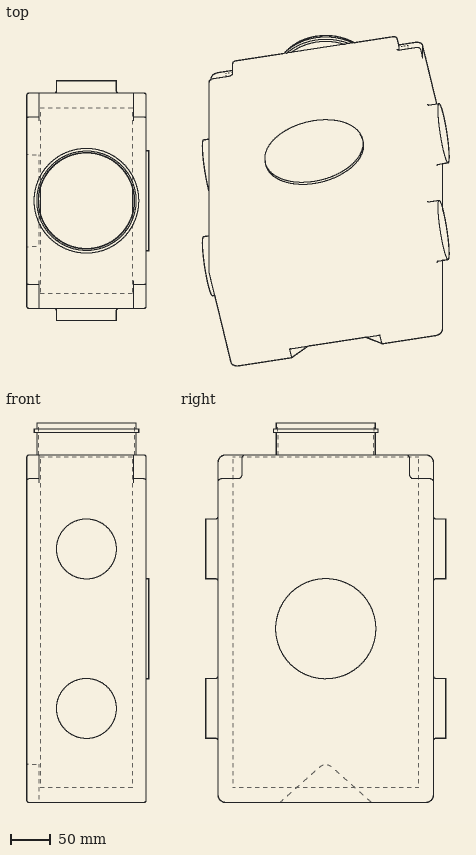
import cadquery as cq
import math

BOX_X = 149.5
BOX_Y = 270.0
BOX_Z = 435.0
CORNER_RADIUS = 10.0
RIM_FILLET = 3.5

LARGE_FACE_WALL = 17.0
SIDE_WALL = 19.0
FLOOR_WALL = 19.0
ROOF_WALL = 3.0

NOTCH_DEPTH = 15.5
NOTCH_SIZE = 30.0
NOTCH_FILLET = 4.8

RECESS_DEPTH = 15.5
RECESS_HALF_WIDTH = 57.5
RECESS_HEIGHT = 51.5
RECESS_TIP_RADIUS = 11.5

TOTAL_Z = 475.0
PIPE_RADIUS = 62.0
BORE_RADIUS = 60.0
MOUTH_RADIUS = 60.5
BEAD_RADIUS = 65.5
BEAD_HEIGHT = 4.8
BEAD_TO_RIM = 7.5

TOTAL_Y = 300.0
SPIGOT_RADIUS = 37.5
SPIGOT_BASE_FILLET = 3.0
SPIGOT_HEIGHTS = (118.0, 317.5)

TOTAL_X = 153.0
DISC_RADIUS = 62.5
DISC_HEIGHT = BOX_Z / 2


def cylinder(plane, start, radius, length):
    return cq.Workplane(plane, origin=start).circle(radius).extrude(length)


def make_core():
    """Middle layer of the box, between the notched outer layers."""
    return (
        cq.Workplane("XY")
        .box(BOX_X - 2 * NOTCH_DEPTH, BOX_Y, BOX_Z, centered=(True, True, False))
        .edges("|X")
        .fillet(CORNER_RADIUS)
    )


def make_recess():
    """Cutter with a triangular outline and a rounded tip."""
    return (
        cq.Workplane("YZ", origin=(-BOX_X / 2, 0, 0))
        .moveTo(-RECESS_HALF_WIDTH, 0)
        .lineTo(0, RECESS_HEIGHT)
        .lineTo(RECESS_HALF_WIDTH, 0)
        .close()
        .extrude(RECESS_DEPTH)
        .edges("|X and >Z")
        .fillet(RECESS_TIP_RADIUS)
    )


def make_outer_layer():
    """Layer behind the -X face, with a notch in both upper corners."""
    shoulder_y = BOX_Y / 2 - NOTCH_SIZE
    shoulder_z = BOX_Z - NOTCH_SIZE
    return (
        cq.Workplane("YZ", origin=(-BOX_X / 2, 0, 0))
        .moveTo(-BOX_Y / 2, 0)
        .lineTo(-BOX_Y / 2, shoulder_z)
        .lineTo(-shoulder_y, shoulder_z)
        .lineTo(-shoulder_y, BOX_Z)
        .lineTo(shoulder_y, BOX_Z)
        .lineTo(shoulder_y, shoulder_z)
        .lineTo(BOX_Y / 2, shoulder_z)
        .lineTo(BOX_Y / 2, 0)
        .close()
        .extrude(NOTCH_DEPTH)
        .edges("|X and (not <Z)")
        .fillet(NOTCH_FILLET)
        .edges("|X and <Z")
        .fillet(CORNER_RADIUS)
    )


def make_box():
    plain_layer = make_outer_layer().mirror("YZ")
    recessed_layer = make_outer_layer().cut(make_recess())
    box = make_core().union(plain_layer).union(recessed_layer)
    return box.faces("<X or >X").edges().fillet(RIM_FILLET)


def make_spigot():
    """Solid spigot with a flared foot, turned about Y and standing on the plane Y = 0."""
    length = (TOTAL_Y - BOX_Y) / 2
    foot_radius = SPIGOT_RADIUS + SPIGOT_BASE_FILLET
    arc_offset = SPIGOT_BASE_FILLET * (1 - math.sqrt(0.5))
    return (
        cq.Workplane("XY")
        .lineTo(foot_radius, 0)
        .threePointArc((SPIGOT_RADIUS + arc_offset, arc_offset), (SPIGOT_RADIUS, SPIGOT_BASE_FILLET))
        .lineTo(SPIGOT_RADIUS, length)
        .lineTo(0, length)
        .close()
        .revolve(360, (0, 0, 0), (0, 1, 0))
    )


def add_spigots(box):
    """Add the spigots as opposite pairs on the two narrow sides."""
    for height in SPIGOT_HEIGHTS:
        spigot = make_spigot().translate((0, BOX_Y / 2, height))
        box = box.union(spigot).union(spigot.mirror("XZ"))
    return box


def make_pipe():
    bead_z = TOTAL_Z - BEAD_TO_RIM - BEAD_HEIGHT
    tube = cylinder("XY", (0, 0, BOX_Z - ROOF_WALL), PIPE_RADIUS, TOTAL_Z - BOX_Z + ROOF_WALL)
    return tube.union(cylinder("XY", (0, 0, bead_z), BEAD_RADIUS, BEAD_HEIGHT))


def make_bore():
    mouth_length = BEAD_TO_RIM + BEAD_HEIGHT
    bore = cylinder("XY", (0, 0, BOX_Z - ROOF_WALL), BORE_RADIUS, TOTAL_Z - BOX_Z + ROOF_WALL)
    return bore.union(cylinder("XY", (0, 0, TOTAL_Z - mouth_length), MOUTH_RADIUS, mouth_length))


def make_cavity():
    return cq.Workplane("XY", origin=(0, 0, FLOOR_WALL)).box(
        BOX_X - 2 * LARGE_FACE_WALL,
        BOX_Y - 2 * SIDE_WALL,
        BOX_Z - FLOOR_WALL - ROOF_WALL,
        centered=(True, True, False),
    )


disc = cylinder("YZ", (BOX_X / 2, 0, DISC_HEIGHT), DISC_RADIUS, TOTAL_X - BOX_X)
body = add_spigots(make_box()).union(make_pipe()).union(disc)
result = body.cut(make_cavity()).cut(make_bore())